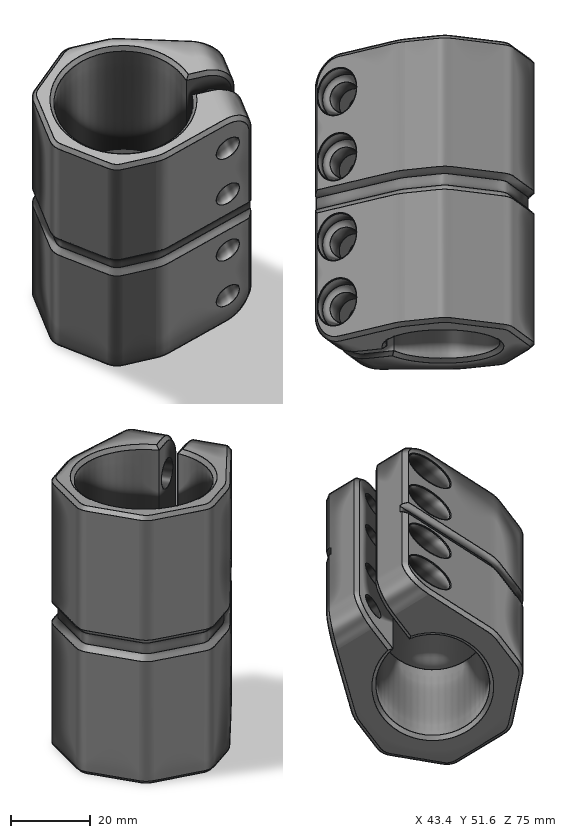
import cadquery as cq
import math

height = 75.0
half_width = 21.7
back_y = -21.5
clamp_end_y = 30.08
diagonal_run = 12.6
arm_corner_y = 3.7
arm_slope = 20.0
body_corner_radius = 5.0
arm_corner_radius = 10.0
arm_end_radius = 8.0
edge_chamfer = 1.0

wide_bore_radius = 17.45
narrow_bore_radius = 14.3
ledge_z = height / 2

slot_width = 5.0

groove_floor_width = 3.0
groove_depth = 1.5

bolt_y = 22.9
bolt_offsets = (10.45, 27.45)
clearance_radius = 4.0
thread_hole_radius = 3.4
head_radius = 6.0
head_rim_chamfer = 0.2
head_seat_x = -9.0

overshoot = 5.0
selection_margin = 1.0


def prism(end_y, z_start, z_end):
    """Body outline, ending at end_y, with rounded corners, between two heights."""
    slope_run = (end_y - arm_corner_y) * math.tan(math.radians(arm_slope))
    right_side = [
        (half_width - diagonal_run, back_y),
        (half_width, back_y + diagonal_run),
        (half_width, arm_corner_y),
        (half_width - slope_run, end_y),
    ]
    left_side = [(-x, y) for x, y in reversed(right_side)]
    body = (
        cq.Workplane("XY", origin=(0, 0, z_start))
        .polyline(right_side + left_side)
        .close()
        .extrude(z_end - z_start)
    )

    def upright_edges_between(y_low, y_high):
        box = cq.selectors.BoxSelector(
            (-2 * half_width, y_low, z_start - selection_margin),
            (2 * half_width, y_high, z_end + selection_margin),
        )
        return body.edges("|Z").edges(box)

    body = upright_edges_between(back_y - selection_margin, 0).fillet(body_corner_radius)
    return upright_edges_between(0, arm_corner_y + selection_margin).fillet(arm_corner_radius)


def make_body():
    """Block with rounded arm ends, the stepped bore and the slot, with its edges chamfered."""
    body = prism(clamp_end_y, 0, height)
    body = body.faces(">Y").edges("|X").fillet(arm_end_radius)
    narrow_bore = cq.Workplane("XY").circle(narrow_bore_radius).extrude(height)
    wide_bore = cq.Workplane("XY").circle(wide_bore_radius).extrude(height).translate((0, 0, ledge_z))
    slot_length = clamp_end_y + overshoot
    slot = cq.Workplane("XY").box(slot_width, slot_length, height, centered=(True, False, False))
    body = body.cut(narrow_bore).cut(wide_bore).cut(slot)
    body = body.faces(">Z or <Z or >Y").edges().chamfer(edge_chamfer)

    ledge_cone = cq.Solid.makeCone(
        narrow_bore_radius,
        narrow_bore_radius + edge_chamfer,
        edge_chamfer,
        pnt=cq.Vector(0, 0, ledge_z - edge_chamfer),
    )
    return body.cut(cq.Workplane(ledge_cone))


def make_groove():
    """Band around the body with 45 degree flanks; it leaves the end face of the arms whole."""
    mid_z = height / 2
    floor_z = mid_z - groove_floor_width / 2
    mouth_z = floor_z - groove_depth
    far_end_y = clamp_end_y + overshoot

    core = prism(far_end_y, mouth_z - groove_depth, floor_z).faces(">Z").edges().chamfer(groove_depth)
    core = core.faces(">Z").wires().toPending().extrude(groove_floor_width / 2)
    core = core.union(core.mirror("XY", (0, 0, mid_z)))

    band_size = 4 * half_width
    band = cq.Workplane("XY", origin=(0, 0, mid_z)).box(band_size, band_size, 2 * (mid_z - mouth_z))
    return band.cut(core)


def rod_along_x(radius, z, x_start, x_end):
    """Round cutter on a bolt axis."""
    return cq.Workplane("YZ", origin=(x_start, bolt_y, z)).circle(radius).extrude(x_end - x_start)


def add_bolt_hole(body, z):
    """Head counterbore and clearance hole in the -X arm, smaller hole through the +X arm."""
    far_x = half_width + overshoot
    body = body.cut(rod_along_x(head_radius, z, -far_x, head_seat_x))
    rim_box = cq.selectors.BoxSelector(
        (-far_x, bolt_y - selection_margin, z - selection_margin),
        (head_seat_x, bolt_y + selection_margin, z + selection_margin),
    )
    body = body.edges("%ELLIPSE").edges(rim_box).chamfer(head_rim_chamfer)
    body = body.cut(rod_along_x(clearance_radius, z, -far_x, 0))
    return body.cut(rod_along_x(thread_hole_radius, z, 0, far_x))


result = make_body().cut(make_groove())
for offset in bolt_offsets:
    for bolt_z in (height / 2 - offset, height / 2 + offset):
        result = add_bolt_hole(result, bolt_z)